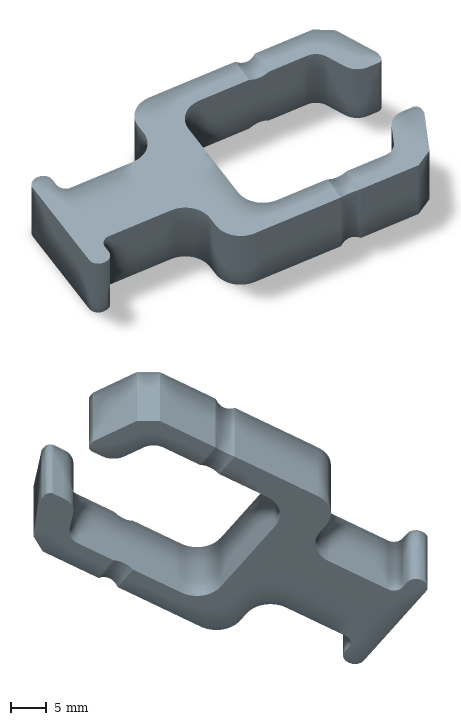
import cadquery as cq
import math

length = 54.8
width = 30.0
thickness = 10.0

foot_width = 18.85
foot_depth = 3.2
stem_width = 10.75
small_radius = 1.5

frame_bottom = 18.7
wall = 4.0
pocket_floor = 24.55
large_radius = 4.0

mouth_width = 9.75
jaw_angle = math.radians(24)
jaw_inner_bend = 47.55
inner_bend_radius = 2.5
tip_inner_radius = 2.95
tip_corner_radius = 0.95
tip_flat = 1.7
shoulder_x = 13.25
shoulder_start = 49.1

groove_y = 38.2
groove_width = 3.2
groove_depth = 0.45

half_width = width / 2
half_mouth = mouth_width / 2
pocket_half = half_width - wall
tip_outer_x = half_mouth + tip_flat
jaw_slope = math.tan(jaw_angle)
shoulder_y = length - (shoulder_x - tip_outer_x) * jaw_slope
tip_inner_y = jaw_inner_bend + (pocket_half - half_mouth) * jaw_slope


def round_edge(body, x, y, radius):
    """Fillet the vertical edges at (x, y) and (-x, y)."""
    reach = 0.05
    for side in (-1, 1):
        corner = cq.selectors.BoxSelector(
            (side * x - reach, y - reach, -thickness),
            (side * x + reach, y + reach, thickness),
        )
        body = body.edges("|Z").edges(corner).fillet(radius)
    return body


def make_body():
    """Stem, frame and jaws extruded from one mirrored outline."""
    right_side = [
        (stem_width / 2, 0),
        (stem_width / 2, frame_bottom),
        (half_width, frame_bottom),
        (half_width, shoulder_start),
        (shoulder_x, shoulder_y),
        (tip_outer_x, length),
        (half_mouth, length),
        (half_mouth, tip_inner_y),
        (pocket_half, jaw_inner_bend),
        (pocket_half, pocket_floor),
    ]
    left_side = [(-x, y) for x, y in reversed(right_side)]
    body = (
        cq.Workplane("XY")
        .polyline(right_side + left_side)
        .close()
        .extrude(thickness / 2, both=True)
    )
    foot = cq.Workplane("XY").box(foot_width, foot_depth, thickness)
    body = body.union(foot.translate((0, foot_depth / 2, 0)))

    body = round_edge(body, foot_width / 2, 0, small_radius)
    body = round_edge(body, foot_width / 2, foot_depth, small_radius)
    body = round_edge(body, stem_width / 2, foot_depth, small_radius)
    body = round_edge(body, stem_width / 2, frame_bottom, large_radius)
    body = round_edge(body, half_width, frame_bottom, large_radius)
    body = round_edge(body, pocket_half, pocket_floor, large_radius)
    body = round_edge(body, pocket_half, jaw_inner_bend, inner_bend_radius)
    body = round_edge(body, half_mouth, tip_inner_y, tip_inner_radius)
    return round_edge(body, half_mouth, length, tip_corner_radius)


def cut_grooves(body):
    """Cut the groove across the top, bottom and outer faces of both arms."""
    radius = ((groove_width / 2) ** 2 + groove_depth**2) / (2 * groove_depth)
    offset = radius - groove_depth
    across = cq.Workplane("YZ").circle(radius).extrude(width, both=True)
    upright = cq.Workplane("XY").circle(radius).extrude(thickness, both=True)
    for side in (-1, 1):
        body = body.cut(across.translate((0, groove_y, side * (thickness / 2 + offset))))
        body = body.cut(upright.translate((side * (half_width + offset), groove_y, 0)))
    return body


result = cut_grooves(make_body())